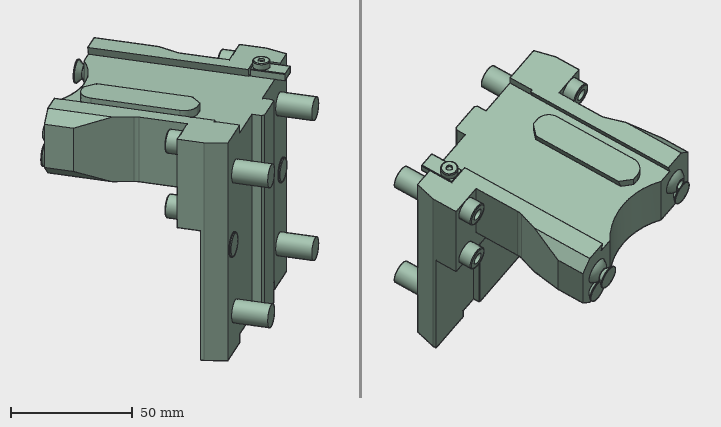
import cadquery as cq
import math


plate_half_width = 44.5
plate_height = 100.8
plate_thickness = 11.0
back_taper_length = 9.4
back_taper_inset = 2.5
notch_half_width = 24.8
notch_height = 4.0

channel_depth = 3.6
recess_half_width = 24.9
recess_clamp_side = 33.1

bar_bottom = -(plate_height - notch_height)
front_bar_half_width = 17.4
front_bar_height = 3.0
front_bar_chamfer = 0.4
key_half_width = 7.5
key_height = 5.2
key_chamfer = 1.0

flange_thickness = 10.0
flange_height = 41.0
flange_face = -(plate_thickness + flange_thickness)
arm_front = -80.0
arm_height = 30.0
arm_head_half_width = 38.1
arm_waist_half_width = 30.0
arm_head_end = -67.5
arm_waist_start = -42.8
waist_radius = 7.0
arm_chamfer = 5.0
scoop_half_width = 18.6
scoop_depth = 6.0
channel_half_width_top = 23.8
channel_half_width_floor = 24.8

gib_start = -71.6
gib_end = -21.4
gib_low_side = -19.4
gib_high_side = -6.3
gib_corner_cut = 4.5
gib_corner_radius = 6.0
gib_undercut = 0.7
gib_sink = 0.5

clamp_start = -10.5
clamp_end = 4.4
clamp_low_side = 25.2
clamp_high_side = 32.8
clamp_top = -0.4
clamp_screw_x = -6.9
clamp_screw_radius = 3.6
clamp_screw_top = 2.5
clamp_socket_radius = 1.3
clamp_socket_depth = 1.0
clamp_socket_tip = 0.7
clamp_edge_chamfer = 0.3

cap_radius = 5.0
cap_height = 6.0
cap_socket_radius = 2.5
cap_socket_depth = 2.5
cap_socket_tip = 1.5
cap_y = 37.5
cap_levels = (-5.2, -35.2)
rim_chamfer = 0.4

pin_radius = 5.0
pin_length = 15.5
pin_y = 31.5
pin_levels = (-18.0, -82.8)
disc_radius = 5.4
disc_height = 0.8
disc_y = 35.0
disc_z = -50.3
disc_chamfer = 0.4

button_radius = 5.6
button_flat_radius = 2.8
button_height = 3.0
button_socket_radius = 2.1
button_socket_depth = 2.0
button_y = 28.0
button_z = -13.9
flared_radius = 5.0
flared_rim = 0.5
flared_height = 3.3
low_flared_y = 30.6
low_flared_z = -23.0
low_flared_front = -82.3
upper_flared_front = -86.0


def box(x_range, y_range, z_range):
    size = [high - low for low, high in (x_range, y_range, z_range)]
    corner = (x_range[0], y_range[0], z_range[0])
    return cq.Workplane("XY").box(*size, centered=False).translate(corner)


def facing(x, y, z, direction):
    """Workplane at (x, y, z) whose normal points along X, forward (-1) or back (+1)."""
    return cq.Workplane(cq.Plane(origin=(x, y, z), xDir=(0, 1, 0), normal=(direction, 0, 0)))


def revolved(x, y, z, profile):
    """Turn a profile of (radius, distance back from x) points about the X direction."""
    plane = cq.Plane(origin=(x, y, z), xDir=(0, 1, 0), normal=(0, 0, -1))
    return cq.Workplane(plane).polyline(profile).close().revolve(360, (0, 0, 0), (0, 1, 0))


def socket(x, y, z, radius, depth, tip):
    """Round socket running back from x and ending in a conical tip."""
    return revolved(x, y, z, [(0, 0), (radius, 0), (radius, depth), (0, depth + tip)])


def make_plate():
    outline = [
        (-plate_thickness, -plate_half_width),
        (-back_taper_length, -plate_half_width),
        (0, -plate_half_width + back_taper_inset),
        (0, plate_half_width - back_taper_inset),
        (-back_taper_length, plate_half_width),
        (-plate_thickness, plate_half_width),
    ]
    plate = cq.Workplane("XY").polyline(outline).close().extrude(-plate_height)
    through_plate = (-plate_thickness, 0)
    notch = box(through_plate, (-notch_half_width, notch_half_width), (-plate_height, bar_bottom))
    recess = box(through_plate, (-recess_half_width, recess_clamp_side), (-channel_depth, 0))
    return plate.cut(notch).cut(recess)


def make_bars():
    heights = (bar_bottom, -channel_depth)
    front_face = -(plate_thickness + front_bar_height)
    front = box((front_face, -plate_thickness), (-front_bar_half_width, front_bar_half_width), heights)
    front = front.edges("|Z and <X").chamfer(front_bar_chamfer)
    key = box((0, key_height), (-key_half_width, key_half_width), heights)
    key = key.edges("|Z and >X").chamfer(key_chamfer)
    return front, key


def make_arm():
    head = arm_head_half_width
    outline = [
        (arm_front, -head),
        (arm_head_end, -head),
        (arm_waist_start, -arm_waist_half_width),
        (flange_face, -arm_waist_half_width),
        (flange_face, arm_waist_half_width),
        (arm_waist_start, arm_waist_half_width),
        (arm_head_end, head),
        (arm_front, head),
    ]
    arm = cq.Workplane("XY").polyline(outline).close().extrude(-arm_height)
    mid_slope = (arm_head_end + arm_waist_start) / 2
    mid_waist = (arm_waist_start + flange_face) / 2
    waist_edges = cq.selectors.BoxSelector((mid_slope, -head, -arm_height), (mid_waist, head, 0))
    arm = arm.edges("|Z").edges(waist_edges).fillet(waist_radius)

    section = (
        cq.Workplane("YZ", origin=(arm_front, 0, -arm_height / 2))
        .rect(2 * head, arm_height)
        .extrude(flange_face - arm_front)
        .edges("|X")
        .chamfer(arm_chamfer)
    )
    scoop = (
        cq.Workplane("XY")
        .moveTo(arm_front, -scoop_half_width)
        .threePointArc((arm_front + scoop_depth, 0), (arm_front, scoop_half_width))
        .close()
        .extrude(-arm_height)
    )
    return arm.intersect(section).cut(scoop)


def make_bracket():
    across = (-plate_half_width, plate_half_width)
    flange = box((flange_face, -plate_thickness), across, (-flange_height, 0))
    channel_section = [
        (-channel_half_width_floor, -channel_depth),
        (channel_half_width_floor, -channel_depth),
        (channel_half_width_top, 0),
        (-channel_half_width_top, 0),
    ]
    channel = (
        cq.Workplane("YZ", origin=(arm_front, 0, 0))
        .polyline(channel_section)
        .close()
        .extrude(-plate_thickness - arm_front)
    )
    return make_arm().union(flange).cut(channel)


def make_gib():
    gib = box((gib_start, gib_end), (gib_low_side, gib_high_side), (-channel_depth - gib_sink, 0))
    gib = gib.edges("|Z and >Y").chamfer(gib_corner_cut)
    gib = gib.edges("|Z and <Y").fillet(gib_corner_radius)
    undercut = (
        cq.Workplane("YZ", origin=(gib_start, 0, 0))
        .moveTo(gib_high_side, 0)
        .lineTo(gib_high_side - gib_undercut, -channel_depth)
        .lineTo(gib_high_side, -channel_depth)
        .close()
        .extrude(gib_end - gib_start)
    )
    return gib.cut(undercut)


def make_clamp():
    block = box(
        (clamp_start, clamp_end), (clamp_low_side, clamp_high_side), (-channel_depth, clamp_top)
    )
    block = block.edges("|X and >Z").chamfer(clamp_edge_chamfer)
    middle = (clamp_low_side + clamp_high_side) / 2
    head_height = clamp_screw_top - clamp_top
    screw = (
        cq.Workplane("XY", origin=(clamp_screw_x, middle, clamp_top))
        .circle(clamp_screw_radius)
        .extrude(head_height)
        .faces(">Z")
        .chamfer(rim_chamfer)
    )
    hole = socket(0, 0, 0, clamp_socket_radius, clamp_socket_depth, clamp_socket_tip)
    hole = hole.rotate((0, 0, 0), (0, 1, 0), 90).translate((clamp_screw_x, middle, clamp_screw_top))
    return block.union(screw).cut(hole)


def make_cap_screw(y, z):
    head = facing(flange_face, y, z, -1).circle(cap_radius).extrude(cap_height)
    head = head.faces("<X").chamfer(rim_chamfer)
    head_front = flange_face - cap_height
    return head.cut(socket(head_front, y, z, cap_socket_radius, cap_socket_depth, cap_socket_tip))


def make_disc(y):
    disc = facing(0, y, disc_z, 1).circle(disc_radius).extrude(disc_height)
    return disc.faces(">X").chamfer(disc_chamfer)


def make_button_screw(y):
    drop = (button_radius**2 - button_flat_radius**2 - button_height**2) / (2 * button_height)
    sphere_radius = math.hypot(button_radius, drop)
    ball = cq.Workplane("XY").sphere(sphere_radius).translate((arm_front + drop, y, button_z))
    slab = facing(arm_front, y, button_z, -1).circle(button_radius).extrude(button_height)
    return ball.intersect(slab)


def make_button_socket(y):
    top = arm_front - button_height
    return facing(top, y, button_z, 1).circle(button_socket_radius).extrude(button_socket_depth)


def make_flared_head(front, y, z):
    """Countersunk-shaped head, widest at its front face."""
    neck = flared_radius - (flared_height - flared_rim)
    profile = [
        (0, 0),
        (flared_radius, 0),
        (flared_radius, flared_rim),
        (neck, flared_height),
        (0, flared_height),
    ]
    return revolved(front, y, z, profile)


result = make_plate().union(make_bracket())
for bar in make_bars():
    result = result.union(bar)
result = result.union(make_gib()).union(make_clamp())
for side in (-1, 1):
    for level in cap_levels:
        result = result.union(make_cap_screw(side * cap_y, level))
    for level in pin_levels:
        result = result.union(facing(0, side * pin_y, level, 1).circle(pin_radius).extrude(pin_length))
    result = result.union(make_disc(side * disc_y))
    result = result.union(make_button_screw(side * button_y))
    result = result.union(make_flared_head(low_flared_front, side * low_flared_y, low_flared_z))

result = result.cut(make_button_socket(-button_y))
result = result.union(make_flared_head(upper_flared_front, button_y, button_z))